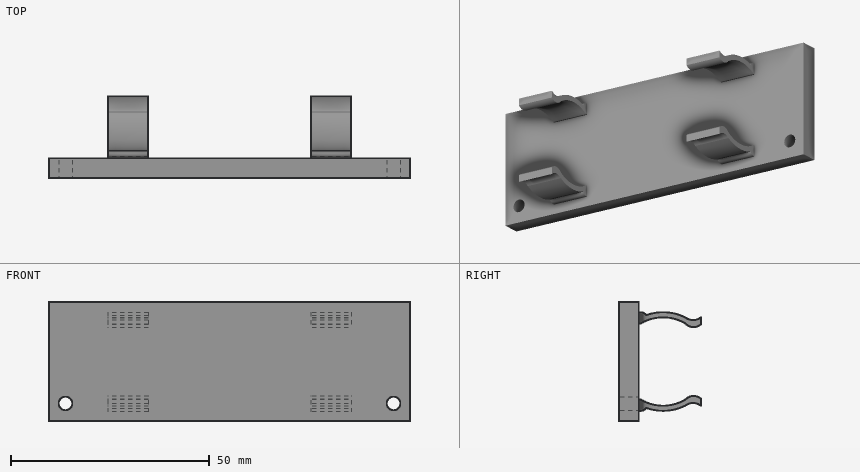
import cadquery as cq
import math

plate_length = 91.0
plate_thickness = 5.0
plate_height = 30.0

hole_diameter = 3.4
hole_end_margin = 4.2
hole_bottom_margin = 4.5

clip_width = 10.1
clip_spacing = 51.1
grip_center_y = 11.1
grip_inner_radius = 11.1
jaw_thickness = 1.4
grip_outer_radius = grip_inner_radius + jaw_thickness

foot_end_y = plate_thickness + 0.5
foot_outer_z = grip_outer_radius
blend_end_y = 6.8
blend_mid = (6.2, 12.3)

flare_start_y = 16.7
flare_bottom_y = 18.6
flare_outer_z = 10.5
flare_inner_z = 8.6
tip_y = 20.7
tip_outer_z = 11.2
tip_inner_z = 9.4


def arch_point(radius, y):
    """Point of the upper grip arc at the given Y."""
    return (y, math.sqrt(radius**2 - (y - grip_center_y) ** 2))


def make_plate():
    plate = cq.Workplane("XY").box(
        plate_length, plate_thickness, plate_height, centered=(True, False, True)
    )
    hole_x = plate_length / 2 - hole_end_margin
    hole_z = -plate_height / 2 + hole_bottom_margin
    holes = (
        cq.Workplane("XZ")
        .pushPoints([(-hole_x, hole_z), (hole_x, hole_z)])
        .circle(hole_diameter / 2)
        .extrude(-plate_thickness)
    )
    return plate.cut(holes)


def make_upper_jaw(center_x):
    inner_root = arch_point(grip_inner_radius, foot_end_y)
    root_y = plate_thickness / 2
    return (
        cq.Workplane("YZ", origin=(center_x, 0, 0))
        .moveTo(root_y, foot_outer_z)
        .lineTo(foot_end_y, foot_outer_z)
        .threePointArc(blend_mid, arch_point(grip_outer_radius, blend_end_y))
        .threePointArc(
            (grip_center_y, grip_outer_radius), arch_point(grip_outer_radius, flare_start_y)
        )
        .threePointArc((flare_bottom_y, flare_outer_z), (tip_y, tip_outer_z))
        .lineTo(tip_y, tip_inner_z)
        .threePointArc(
            (flare_bottom_y, flare_inner_z), arch_point(grip_inner_radius, flare_start_y)
        )
        .threePointArc((grip_center_y, grip_inner_radius), inner_root)
        .lineTo(root_y, inner_root[1])
        .close()
        .extrude(clip_width / 2, both=True)
    )


result = make_plate()
for clip_x in (-clip_spacing / 2, clip_spacing / 2):
    upper_jaw = make_upper_jaw(clip_x)
    result = result.union(upper_jaw).union(upper_jaw.mirror("XY"))